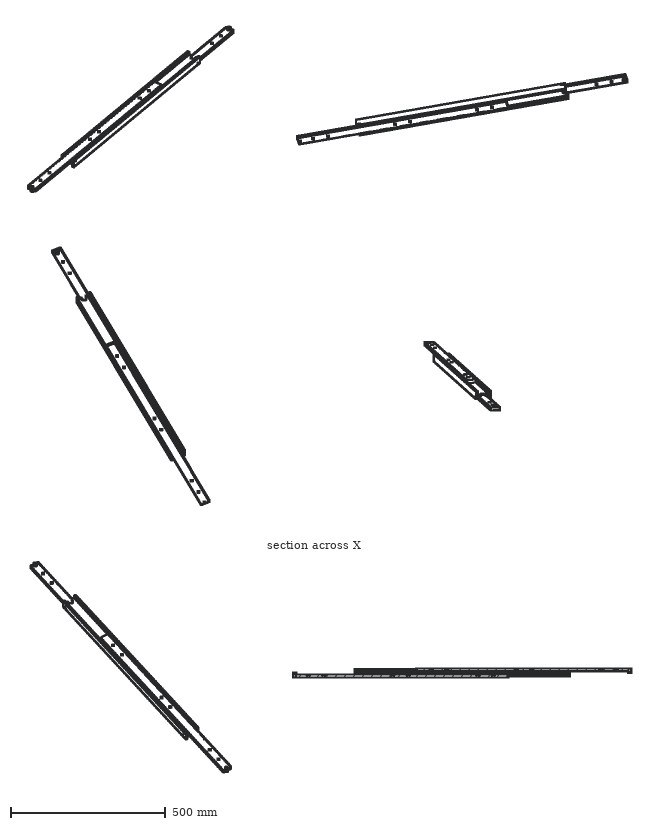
import cadquery as cq

overall_height = 30.0
member_length = 700.0
extension = 200.0

member_width = 50.0
wall_thickness = 6.5
wall_height = 24.8
web_thickness = 5.0

rail_width = 30.0
rail_height = 10.0
ball_radius = 2.5
track_height = 9.3

fixing_hole_diameter = 6.7
fixing_hole_offsets = (25.0, 250.0, 300.0)

pin_shank_diameter = fixing_hole_diameter
pin_head_diameter = 12.0
pin_head_height = 6.0
pin_socket_diameter = 5.0
pin_socket_depth = 3.0
notch_clearance = 2.0

cross_hole_diameter = 6.0
cross_hole_setback = 10.0

half_length = member_length / 2
rail_top = overall_height / 2
rail_bottom = rail_top - rail_height
rail_middle = -extension
wall_inner_face = member_width / 2 - wall_thickness
ball_centre_x = (wall_inner_face + rail_width / 2) / 2
pin_setback = pin_head_diameter / 2
pin_y = rail_middle - half_length + pin_setback
pin_head_z = rail_bottom - pin_head_height
notch_radius = pin_head_diameter / 2 + notch_clearance
cross_hole_y = half_length - cross_hole_setback


def bar(width, height, y_middle, z_bottom):
    """A rectangular bar as long as one member, centred on X = 0."""
    outline = cq.Workplane("XY", origin=(0, y_middle, z_bottom)).rect(width, member_length)
    return outline.extrude(height)


def upright_cylinder(diameter, y, z_bottom, height):
    """A vertical cylinder on the centre line of the slide."""
    return cq.Workplane("XY", origin=(0, y, z_bottom)).circle(diameter / 2).extrude(height)


def ball_paths(y_middle):
    """The two round bars swept by the balls, which cut matching tracks in wall and rail."""
    section = cq.Workplane("XZ", origin=(0, y_middle, track_height))
    section = section.pushPoints([(-ball_centre_x, 0), (ball_centre_x, 0)]).circle(ball_radius)
    return section.extrude(half_length, both=True)


def turned_over(body):
    """The same body turned half a turn about X, for the lower side of the slide."""
    return body.rotate((0, 0, 0), (1, 0, 0), 180)


def upper_channel():
    """The space between the walls above the web, with the ball tracks beside it."""
    web_top = web_thickness / 2
    space = bar(2 * wall_inner_face, wall_height / 2 - web_top, 0, web_top)
    return space.union(ball_paths(0))


def web_notch():
    """A round-ended notch in the web that clears the head of a stop pin."""
    web_bottom = -web_thickness / 2
    round_end = upright_cylinder(2 * notch_radius, half_length - pin_setback, web_bottom, web_thickness)
    mouth = (
        cq.Workplane("XY", origin=(0, half_length, web_bottom))
        .rect(2 * notch_radius, 2 * pin_setback)
        .extrude(web_thickness)
    )
    return round_end.union(mouth)


def cross_hole():
    """A hole through both walls at the height of the upper ball tracks."""
    start = cq.Workplane("YZ", origin=(-member_width / 2, -cross_hole_y, track_height))
    return start.circle(cross_hole_diameter / 2).extrude(member_width)


def make_intermediate_member():
    member = bar(member_width, wall_height, 0, -wall_height / 2)
    for cutter in (upper_channel(), web_notch(), cross_hole()):
        member = member.cut(cutter).cut(turned_over(cutter))
    return member


def make_rail():
    """The upper rail, drawn out towards -Y."""
    rail = bar(rail_width, rail_height, rail_middle, rail_bottom)
    rail = rail.cut(ball_paths(rail_middle))
    for offset in fixing_hole_offsets:
        for y in (rail_middle - offset, rail_middle + offset):
            rail = rail.cut(upright_cylinder(fixing_hole_diameter, y, rail_bottom, rail_height))
    return rail.cut(upright_cylinder(pin_shank_diameter, pin_y, rail_bottom, rail_height))


def make_stop_pin():
    """The stop pin of the upper rail: shank flush with the rail top, head below the rail."""
    shank = upright_cylinder(pin_shank_diameter, pin_y, rail_bottom, rail_height)
    head = upright_cylinder(pin_head_diameter, pin_y, pin_head_z, pin_head_height)
    socket = upright_cylinder(pin_socket_diameter, pin_y, pin_head_z, pin_socket_depth)
    return shank.union(head).cut(socket)


intermediate_member = make_intermediate_member()
upper_rail = make_rail()
lower_rail = turned_over(upper_rail)
upper_pin = make_stop_pin()
lower_pin = turned_over(upper_pin)

result = cq.Compound.makeCompound(
    [
        intermediate_member.val(),
        upper_rail.val(),
        lower_rail.val(),
        upper_pin.val(),
        lower_pin.val(),
    ]
)